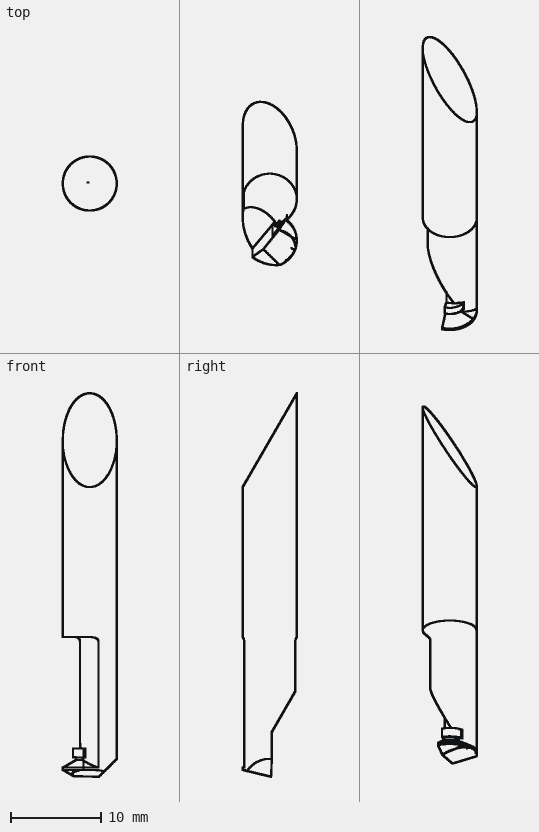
import cadquery as cq
import math


shank_radius = 3.0
total_length = 42.45
end_slope = math.radians(30)
end_slash_height = 2 * shank_radius / math.tan(end_slope)

neck_radius = 3.0
neck_axis_x = 1.9
shoulder_z = 15.45
shoulder_fillet = 0.45
clearance_radius = 2 * shank_radius

flank_slope = math.radians(30)
land_bottom_z = 0.78
land_top_z = 1.02
stem_radius = 1.53
disc_radius = 1.88
disc_bottom_z = 2.15
disc_top_z = 3.15
stem_bottom_z = land_top_z + (shank_radius - stem_radius) * math.tan(flank_slope)
flank_foot_radius = shank_radius - land_bottom_z / math.tan(flank_slope)

rake_angle = 2.3
rake_runout_y = 0.2
rake_runout_z = 4.9
nose_x = 1.0
tip_rake_y = 0.0
axis_rake_y = tip_rake_y + shank_radius * math.tan(math.radians(rake_angle))
nose_rake_y = axis_rake_y + nose_x * math.tan(math.radians(rake_angle))
bottom_relief_angle = 13.5
bottom_side_angle = 0.8

seat_x = -0.7
seat_foot_x = -1.85

block = 4 * shank_radius


def slope_line_z(y):
    """Height of the slanted relief above the rake face, at a given y."""
    return rake_runout_z + (y - rake_runout_y) / math.tan(end_slope)


def along_x(points):
    """Prism through the whole width of the bar, from a (y, z) outline."""
    return cq.Workplane("YZ").polyline(points).close().extrude(shank_radius * 2, both=True)


def make_slashed_bar():
    """Round bar whose top end is cut off on a slant facing -Y."""
    bar = cq.Workplane("XY").circle(shank_radius).extrude(total_length)
    slash = along_x([
        (shank_radius, total_length),
        (-shank_radius, total_length - end_slash_height),
        (-shank_radius, total_length),
    ])
    return bar.cut(slash)


def make_neck_clearance():
    """Ring around the neck, rounded where it runs into the shoulder."""
    corner = shoulder_fillet * (1 - math.sqrt(0.5))
    return (
        cq.Workplane("XZ")
        .moveTo(neck_radius, 0)
        .lineTo(neck_radius, shoulder_z - shoulder_fillet)
        .threePointArc(
            (neck_radius + corner, shoulder_z - corner),
            (neck_radius + shoulder_fillet, shoulder_z),
        )
        .lineTo(clearance_radius, shoulder_z)
        .lineTo(clearance_radius, 0)
        .close()
        .revolve(360, (0, 0, 0), (0, 1, 0))
        .translate((neck_axis_x, 0, 0))
    )


def make_head():
    """Turned head: lower flank, land, upper flank, stem and disc."""
    return (
        cq.Workplane("XZ")
        .polyline([
            (0, 0),
            (flank_foot_radius, 0),
            (shank_radius, land_bottom_z),
            (shank_radius, land_top_z),
            (stem_radius, stem_bottom_z),
            (stem_radius, disc_bottom_z),
            (disc_radius, disc_bottom_z),
            (disc_radius, disc_top_z),
            (0, disc_top_z),
        ])
        .close()
        .revolve(360, (0, 0, 0), (0, 1, 0))
    )


def make_rake_cut():
    """Space in front of the rake face, ending upward in the slanted relief."""
    above_rake = (
        cq.Workplane("XY")
        .box(2 * block, block, 2 * block, centered=(True, False, True))
        .rotate((0, 0, 0), (0, 0, 1), rake_angle)
        .translate((0, axis_rake_y, 0))
    )
    return above_rake.intersect(make_slope_underside(-shank_radius))


def make_slope_underside(start_y):
    """Everything below the slanted relief plane, from start_y towards +Y."""
    return along_x([
        (start_y, -block),
        (start_y, slope_line_z(start_y)),
        (block, slope_line_z(block)),
        (block, -block),
    ])


def make_corner_chamfer():
    """Wedge off the +X bottom corner, at 45 degrees."""
    return (
        cq.Workplane("XZ")
        .polyline([(nose_x, 0), (nose_x + block, block), (nose_x + block, 0)])
        .close()
        .extrude(block, both=True)
    )


def make_bottom_relief():
    """Block under the bottom face, which rises towards -Y and slightly towards -X."""
    return (
        cq.Workplane("XY")
        .box(2 * block, 2 * block, block, centered=(True, True, False))
        .translate((0, 0, -block))
        .rotate((0, 0, 0), (0, 1, 0), bottom_side_angle)
        .rotate((0, 0, 0), (1, 0, 0), -bottom_relief_angle)
        .translate((nose_x, nose_rake_y, 0))
    )


def make_cutter_space():
    """Space taken by the cutter: a block, a narrower foot and a slanted top."""
    middle = cq.Workplane("XY").box(
        block, 2 * block, disc_top_z - land_bottom_z, centered=(False, True, False)
    ).translate((seat_x - block, 0, land_bottom_z))
    foot = cq.Workplane("XY").box(
        block, 2 * block, land_bottom_z, centered=(False, True, False)
    ).translate((seat_foot_x - block, 0, 0))
    top = (
        cq.Workplane("XY")
        .box(block, 2 * block, rake_runout_z - disc_top_z, centered=(False, True, False))
        .translate((seat_x - block, 0, disc_top_z))
        .intersect(make_slope_underside(-shank_radius))
    )
    return middle.union(foot).union(top)


whole_tool = (
    make_slashed_bar()
    .cut(make_neck_clearance())
    .union(make_head())
    .cut(make_rake_cut())
    .cut(make_corner_chamfer())
    .cut(make_bottom_relief())
)
cutter_space = make_cutter_space()

bar = whole_tool.cut(cutter_space)
cutter = whole_tool.intersect(cutter_space)

result = cq.Compound.makeCompound([bar.val(), cutter.val()])